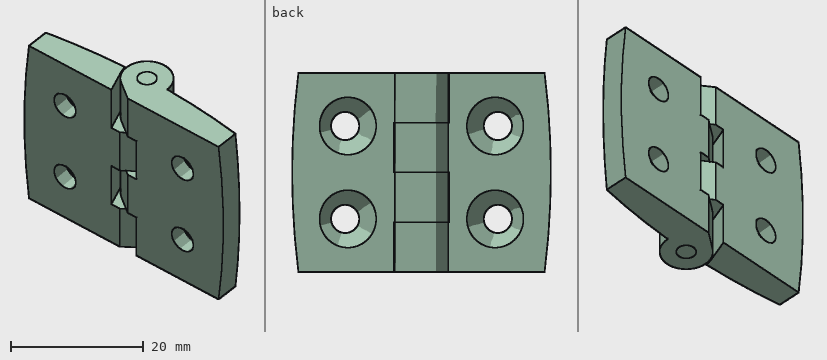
import cadquery as cq
import math

WIDTH = 38.98
HEIGHT = 30.0
CORNER_HALF_WIDTH = 18.55
EDGE_THICKNESS = 3.85

KNUCKLE_RADIUS = 4.0
AXIS_Y = 9.5 - KNUCKLE_RADIUS
PIN_DIAMETER = 3.0
KNUCKLES_PER_LEAF = 2
KNUCKLE_HEIGHT = HEIGHT / (2 * KNUCKLES_PER_LEAF)
KNUCKLE_FOOT_X = 0.78

POCKET_RADIUS = 4.17
POCKET_FOOT_X = 2.4

HOLE_DIAMETER = 4.2
SINK_DIAMETER = 9.75
HOLE_SPACING_X = 23.0
HOLE_SPACING_Z = 14.0
SINK_ANGLE = 90.0


def tangent_point(foot_x, radius):
    """Touching point, on the -X side, of a line from (foot_x, 0) to a circle about the pin axis."""
    distance = math.hypot(foot_x, AXIS_Y)
    towards_foot = math.atan2(-AXIS_Y, foot_x)
    angle = towards_foot - math.acos(radius / distance)
    return radius * math.cos(angle), AXIS_Y + radius * math.sin(angle)


def extrude_up(sketch, bottom, height):
    """Extrude an outline drawn in the XY plane along +Z from the given level."""
    return sketch.extrude(height).translate((0, 0, bottom))


def plate():
    """Right half of the hinge plate: domed back, bowed outer side, flat mounting face."""
    half = WIDTH / 2
    drop = AXIS_Y - EDGE_THICKNESS
    dome_radius = (half**2 + drop**2) / (2 * drop)
    middle_x = half / 2
    middle_y = AXIS_Y - dome_radius + math.sqrt(dome_radius**2 - middle_x**2)
    profile = (
        cq.Workplane("XY")
        .lineTo(half, 0)
        .lineTo(half, EDGE_THICKNESS)
        .threePointArc((middle_x, middle_y), (0, AXIS_Y))
        .close()
    )
    outline = (
        cq.Workplane("XZ")
        .moveTo(0, -HEIGHT / 2)
        .lineTo(CORNER_HALF_WIDTH, -HEIGHT / 2)
        .threePointArc((half, 0), (CORNER_HALF_WIDTH, HEIGHT / 2))
        .lineTo(0, HEIGHT / 2)
        .close()
        .extrude(-AXIS_Y)
    )
    return extrude_up(profile, -HEIGHT / 2, HEIGHT).intersect(outline)


def knuckle(bottom):
    """Barrel segment with a flank running tangentially down to the mounting face."""
    foot = tangent_point(KNUCKLE_FOOT_X, KNUCKLE_RADIUS)
    web = (
        cq.Workplane("XY")
        .moveTo(KNUCKLE_FOOT_X, 0)
        .lineTo(*foot)
        .lineTo(0, AXIS_Y)
        .lineTo(KNUCKLE_RADIUS, AXIS_Y)
        .lineTo(KNUCKLE_RADIUS, 0)
        .close()
    )
    barrel = cq.Workplane("XY").center(0, AXIS_Y).circle(KNUCKLE_RADIUS)
    segment = extrude_up(barrel, bottom, KNUCKLE_HEIGHT)
    return segment.union(extrude_up(web, bottom, KNUCKLE_HEIGHT))


def pocket(bottom):
    """Clearance for a knuckle of the opposite leaf, with a straight wall tangent to its arc."""
    touch_x, touch_y = tangent_point(-POCKET_FOOT_X, POCKET_RADIUS)
    wall = (
        cq.Workplane("XY")
        .lineTo(POCKET_FOOT_X, 0)
        .lineTo(-touch_x, touch_y)
        .lineTo(0, AXIS_Y)
        .close()
    )
    barrel = cq.Workplane("XY").center(0, AXIS_Y).circle(POCKET_RADIUS)
    space = extrude_up(barrel, bottom, KNUCKLE_HEIGHT)
    return space.union(extrude_up(wall, bottom, KNUCKLE_HEIGHT))


def screw_hole(z):
    """Through hole whose countersink opens on the domed back."""
    hole_radius = HOLE_DIAMETER / 2
    sink_radius = SINK_DIAMETER / 2
    sink_depth = (sink_radius - hole_radius) / math.tan(math.radians(SINK_ANGLE / 2))
    profile = (
        cq.Workplane("XY")
        .lineTo(hole_radius, 0)
        .lineTo(hole_radius, AXIS_Y - sink_depth)
        .lineTo(sink_radius, AXIS_Y)
        .lineTo(0, AXIS_Y)
        .close()
    )
    return profile.revolve(360, (0, 0, 0), (0, 1, 0)).translate((HOLE_SPACING_X / 2, 0, z))


def make_leaf():
    """Right-hand leaf, with knuckles in the first and third places from the top."""
    leaf = plate()
    for index in range(KNUCKLES_PER_LEAF):
        pocket_bottom = -HEIGHT / 2 + 2 * index * KNUCKLE_HEIGHT
        knuckle_bottom = pocket_bottom + KNUCKLE_HEIGHT
        leaf = leaf.cut(pocket(pocket_bottom))
        leaf = leaf.cut(
            cq.Workplane("XY").box(KNUCKLE_FOOT_X, AXIS_Y, KNUCKLE_HEIGHT, centered=False)
            .translate((0, 0, knuckle_bottom))
        )
        leaf = leaf.union(knuckle(knuckle_bottom))
    bore = cq.Workplane("XY").center(0, AXIS_Y).circle(PIN_DIAMETER / 2)
    leaf = leaf.cut(extrude_up(bore, -HEIGHT / 2, HEIGHT))
    for z in (-HOLE_SPACING_Z / 2, HOLE_SPACING_Z / 2):
        leaf = leaf.cut(screw_hole(z))
    return leaf


def make_pin():
    """Pin filling the bore over the full height."""
    section = cq.Workplane("XY").center(0, AXIS_Y).circle(PIN_DIAMETER / 2)
    return extrude_up(section, -HEIGHT / 2, HEIGHT)


right_leaf = make_leaf()
left_leaf = right_leaf.rotate((0, 0, 0), (0, 1, 0), 180)
pin = make_pin()

result = cq.Compound.makeCompound([right_leaf.val(), left_leaf.val(), pin.val()])